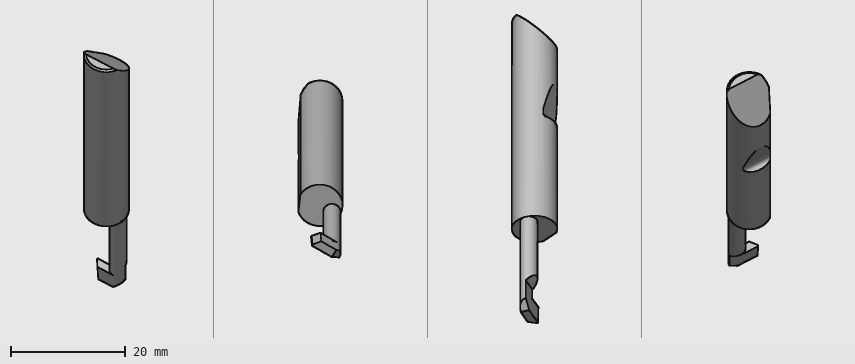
import cadquery as cq
import math

length = 63.5
shank_radius = 3.97
shank_bottom = 19.05
top_chamfer_height = 0.25
top_chamfer_inset = 0.4

slant_start_y = -2.15

flat_start_angle = 128.0
flat_end_angle = 180.0

notch_top = 49.0
notch_floor_top = 42.2
notch_bottom = 40.7
notch_floor_y = 2.8
notch_corner_radius = 0.65

neck_radius = 1.5
neck_x = shank_radius - neck_radius
neck_y = -0.05
neck_front_y = neck_y - neck_radius
tip_chamfer = 1.6

rake_y = 0.0
relief_start = 5.4

head_left_x = -1.85
head_front_x = -0.9
head_height = 3.5
head_land = 0.25
head_top_drop = 0.1
head_side_taper = 0.2

cut_width = 4 * shank_radius


def prism_along_x(outline):
    """Extrude a closed (Y, Z) outline across the full width of the bar."""
    return outline.close().extrude(cut_width / 2, both=True)


def rim_point(angle):
    """Point on the shank circle at an angle in degrees."""
    turn = math.radians(angle)
    return shank_radius * math.cos(turn), shank_radius * math.sin(turn)


def make_shank():
    shank = (
        cq.Workplane("XY", origin=(0, 0, shank_bottom))
        .circle(shank_radius)
        .extrude(length - shank_bottom)
        .faces(">Z")
        .chamfer(top_chamfer_height, top_chamfer_inset)
    )
    return shank.cut(slanted_top()).cut(side_flat()).cut(clamping_notch())


def slanted_top():
    run = 2 * shank_radius
    return prism_along_x(
        cq.Workplane("YZ")
        .moveTo(slant_start_y, length)
        .lineTo(slant_start_y + run, length - run)
        .lineTo(slant_start_y + run, length)
    )


def side_flat():
    start = rim_point(flat_start_angle)
    end = rim_point(flat_end_angle)
    outer_corner = (-shank_radius, 2 * shank_radius)
    beyond_start = (start[0], outer_corner[1])
    return (
        cq.Workplane("XY")
        .polyline([start, end, outer_corner, beyond_start])
        .close()
        .extrude(length)
    )


def clamping_notch():
    return prism_along_x(
        cq.Workplane("YZ")
        .moveTo(shank_radius, notch_top)
        .lineTo(notch_floor_y, notch_floor_top)
        .lineTo(notch_floor_y, notch_bottom + notch_corner_radius)
        .radiusArc((notch_floor_y + notch_corner_radius, notch_bottom), -notch_corner_radius)
        .lineTo(shank_radius, notch_bottom)
    )


def make_neck():
    neck = cq.Workplane("XY").center(neck_x, neck_y).circle(neck_radius).extrude(shank_bottom)
    rear_y = neck_y + neck_radius
    rear_relief = prism_along_x(
        cq.Workplane("YZ")
        .moveTo(rake_y, 0)
        .lineTo(rake_y, relief_start)
        .lineTo(rear_y, relief_start + rear_y - rake_y)
        .lineTo(rear_y, 0)
    )
    corner = (
        cq.Workplane("XZ")
        .moveTo(shank_radius - tip_chamfer, 0)
        .lineTo(shank_radius, tip_chamfer)
        .lineTo(shank_radius, 0)
        .close()
        .extrude(cut_width / 2, both=True)
    )
    return neck.cut(rear_relief).cut(corner)


def head_outline(taper):
    """Plan outline of the head, with its -X end drawn in by the taper."""
    left_x = head_left_x + taper
    return [
        (neck_x, rake_y),
        (left_x, rake_y),
        (left_x, rake_y - head_land),
        (head_front_x + taper, neck_front_y),
        (neck_x, neck_front_y),
    ]


def make_head():
    """Block reaching toward -X, wider at the top, with a slightly sloping top face."""
    block = (
        cq.Workplane("XY")
        .polyline(head_outline(head_side_taper))
        .close()
        .workplane(offset=head_height)
        .polyline(head_outline(0))
        .close()
        .loft(ruled=True)
    )
    above_top = (
        cq.Workplane("XZ")
        .moveTo(head_left_x, head_height)
        .lineTo(neck_x, head_height)
        .lineTo(neck_x, head_height - head_top_drop)
        .close()
        .extrude(cut_width / 2, both=True)
    )
    return block.cut(above_top)


result = make_shank().union(make_neck()).union(make_head())